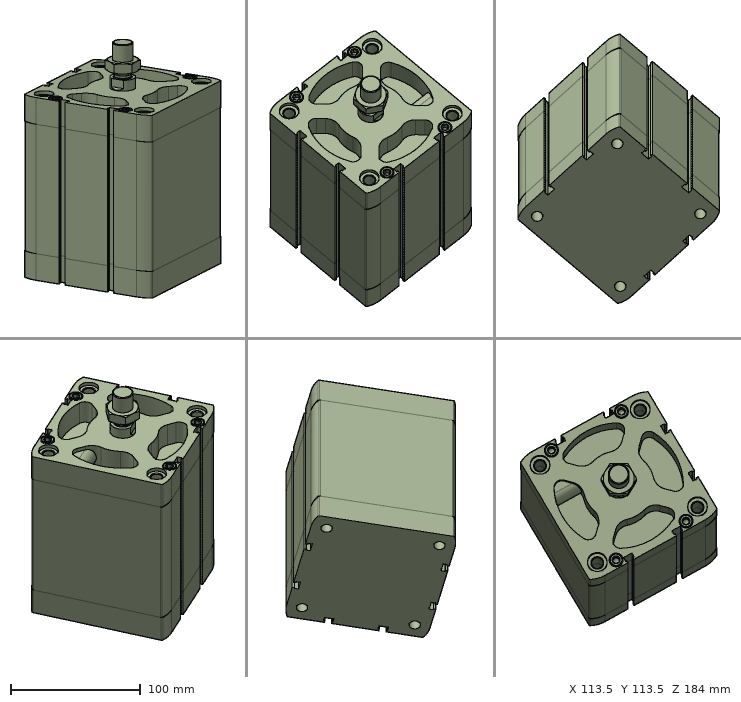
import cadquery as cq
import math

WIDTH = 113.5
HEIGHT = 147.4
CAP_HEIGHT = 21.5
HALF = WIDTH / 2
TOTAL_HEIGHT = 184.0

CORNER_HOLE_OFFSET = 44.5
CAP_CORNER_RADIUS = 25.0
BARREL_CORNER_RADIUS = 21.0
EDGE_RADIUS = 1.3

SLOT_OFFSET = 21.5
SLOT_MOUTH_WIDTH = 5.5
SLOT_INNER_WIDTH = 7.4
SLOT_LIP = 1.8
SLOT_DEPTH = 5.2

HOLE_DIAMETER = 8.6
HOLE_CHAMFER_DIAMETER = 10.0
HOLE_RECESS_DIAMETER = 15.0
HOLE_RECESS_DEPTH = 3.0

SCREW_X = 31.1
SCREW_Y = 50.2
SCREW_RECESS_DIAMETER = 10.7
SCREW_HEAD_DIAMETER = 9.0
SOCKET_RIM_DIAMETER = 6.0
SOCKET_FLATS = 5.0
SOCKET_DEPTH = 4.0
SOCKET_TIP_DEPTH = 1.5

POCKET_OUTER_RADIUS = 100.0 / 2
HUB_RADIUS = 27.6
POCKET_DEPTH = 19.3
RIB_WIDTH = 13.8
POCKET_OUTER_ROUND = 6.0
POCKET_HUB_ROUND = 12.0

PORT_Y = -20.0
PORT_DIAMETER = 16.0

ROD_DIAMETER = 20.0
ROD_SHOULDER_HEIGHT = 8.6
ROD_FLAT_WIDTH = 17.0
ROD_FLAT_START = 2.0
NECK_DIAMETER = 13.5
NECK_TOP = 11.2
NECK_FOOT_DIAMETER = 14.7
THREAD_DIAMETER = 16.0
ROD_TIP_DIAMETER = 14.4
ROD_TIP_HEIGHT = 0.5
ROD_SEAT_DEPTH = CAP_HEIGHT

NUT_FLATS = 24.0
NUT_HEIGHT = 8.3
NUT_BOTTOM = 14.4
NUT_CHAMFER_ANGLE = 25.0


def outline_block(height, corner_radius):
    """Block with eased corners: an arc tangent to the +-Y faces, rounded into the +-X faces."""
    run = HALF - CORNER_HOLE_OFFSET
    drop = corner_radius - math.sqrt(corner_radius**2 - run**2)
    corner_y = HALF - drop
    return (
        cq.Workplane("XY")
        .moveTo(-CORNER_HOLE_OFFSET, HALF)
        .lineTo(CORNER_HOLE_OFFSET, HALF)
        .radiusArc((HALF, corner_y), corner_radius)
        .lineTo(HALF, -corner_y)
        .radiusArc((CORNER_HOLE_OFFSET, -HALF), corner_radius)
        .lineTo(-CORNER_HOLE_OFFSET, -HALF)
        .radiusArc((-HALF, -corner_y), corner_radius)
        .lineTo(-HALF, corner_y)
        .radiusArc((-CORNER_HOLE_OFFSET, HALF), corner_radius)
        .close()
        .extrude(height)
        .edges("|Z and (>X or <X)")
        .fillet(EDGE_RADIUS)
    )


def t_slots(height):
    """Pairs of T-slots on the +Y, -X and -Y faces."""
    mouth = cq.Workplane("XY").box(SLOT_MOUTH_WIDTH, SLOT_DEPTH, height, centered=(True, False, False))
    pocket = cq.Workplane("XY").box(
        SLOT_INNER_WIDTH, SLOT_DEPTH - SLOT_LIP, height, centered=(True, False, False)
    )
    slot = mouth.union(pocket).translate((0, HALF - SLOT_DEPTH, 0))
    pair = slot.translate((-SLOT_OFFSET, 0, 0)).union(slot.translate((SLOT_OFFSET, 0, 0)))
    slots = pair
    for angle in (90, 180):
        slots = slots.union(pair.rotate((0, 0, 0), (0, 0, 1), angle))
    return slots


def corner_points():
    spacing = 2 * CORNER_HOLE_OFFSET
    return cq.Workplane("XY").rect(spacing, spacing, forConstruction=True).vertices()


def housing_section(base, height, corner_radius):
    """One stretch of the housing with its slots and the corner through holes."""
    section = outline_block(height, corner_radius).cut(t_slots(height))
    section = section.cut(corner_points().circle(HOLE_DIAMETER / 2).extrude(height))
    return section.translate((0, 0, base))


def revolve_profile(points):
    """Solid of revolution about Z from (radius, z) points."""
    return cq.Workplane("XZ").polyline(points).close().revolve(360, (0, 0, 0), (0, 1, 0))


def hole_recess():
    """Counterbore with a chamfer leading into the corner hole, top at Z = 0."""
    recess_radius = HOLE_RECESS_DIAMETER / 2
    chamfer_radius = HOLE_CHAMFER_DIAMETER / 2
    hole_radius = HOLE_DIAMETER / 2
    return revolve_profile([
        (0, 0),
        (recess_radius, 0),
        (recess_radius, -HOLE_RECESS_DEPTH),
        (chamfer_radius, -HOLE_RECESS_DEPTH),
        (hole_radius, -HOLE_RECESS_DEPTH - (chamfer_radius - hole_radius)),
        (0, -HOLE_RECESS_DEPTH - (chamfer_radius - hole_radius)),
    ])


def screw_recess():
    """Groove around a chamfered screw head and its hexagon socket, top at Z = 0."""
    recess_radius = SCREW_RECESS_DIAMETER / 2
    head_radius = SCREW_HEAD_DIAMETER / 2
    groove = revolve_profile([
        (head_radius, 0),
        (recess_radius, 0),
        (recess_radius, head_radius - recess_radius),
    ])
    rim_radius = SOCKET_RIM_DIAMETER / 2
    tip_radius = SOCKET_FLATS / 2
    rim = revolve_profile([
        (0, 0),
        (rim_radius, 0),
        (tip_radius, tip_radius - rim_radius),
        (0, tip_radius - rim_radius),
    ])
    socket = cq.Workplane("XY").polygon(6, SOCKET_FLATS / math.cos(math.pi / 6)).extrude(-SOCKET_DEPTH)
    tip = revolve_profile([
        (0, -SOCKET_DEPTH),
        (tip_radius, -SOCKET_DEPTH),
        (0, -SOCKET_DEPTH - SOCKET_TIP_DEPTH),
    ])
    return groove.union(rim).union(socket).union(tip)


def pocket():
    """The +X pocket: a ring sector between two diagonal ribs, with rounded corners, top at Z = 0."""
    rib_offset = RIB_WIDTH / math.sqrt(2)
    reach = WIDTH
    sector = (
        cq.Workplane("XY")
        .polyline([(rib_offset, 0), (rib_offset + reach, reach), (rib_offset + reach, -reach)])
        .close()
        .extrude(-POCKET_DEPTH)
    )
    ring = cq.Workplane("XY").circle(POCKET_OUTER_RADIUS).circle(HUB_RADIUS).extrude(-POCKET_DEPTH)
    shape = ring.intersect(sector)
    middle = (HUB_RADIUS + POCKET_OUTER_RADIUS) / 2 * math.cos(math.pi / 4)
    outer_edges = cq.selectors.BoxSelector((middle, -HALF, -HEIGHT), (HALF, HALF, HEIGHT))
    hub_edges = cq.selectors.BoxSelector((0, -HALF, -HEIGHT), (middle, HALF, HEIGHT))
    shape = shape.edges("|Z").edges(outer_edges).fillet(POCKET_OUTER_ROUND)
    return shape.edges("|Z").edges(hub_edges).fillet(POCKET_HUB_ROUND)


def port_boss():
    """Material left in the +X pocket: a flat top ending in a half-round side that faces +Y."""
    boss_top = PORT_DIAMETER - POCKET_DEPTH
    return (
        cq.Workplane("YZ")
        .moveTo(-HALF, -POCKET_DEPTH)
        .lineTo(-HALF, boss_top)
        .lineTo(PORT_Y, boss_top)
        .radiusArc((PORT_Y, -POCKET_DEPTH), PORT_DIAMETER / 2)
        .close()
        .extrude(HALF)
    )


def top_cap():
    cap = housing_section(HEIGHT - CAP_HEIGHT, CAP_HEIGHT, CAP_CORNER_RADIUS)
    for x in (-CORNER_HOLE_OFFSET, CORNER_HOLE_OFFSET):
        for y in (-CORNER_HOLE_OFFSET, CORNER_HOLE_OFFSET):
            cap = cap.cut(hole_recess().translate((x, y, HEIGHT)))
    for x in (-SCREW_X, SCREW_X):
        for y in (-SCREW_Y, SCREW_Y):
            cap = cap.cut(screw_recess().translate((x, y, HEIGHT)))
    plain_pocket = pocket()
    for angle in (90, 180, 270):
        cap = cap.cut(plain_pocket.rotate((0, 0, 0), (0, 0, 1), angle).translate((0, 0, HEIGHT)))
    cap = cap.cut(plain_pocket.cut(port_boss()).translate((0, 0, HEIGHT)))
    rod_seat = cq.Workplane("XY").circle(ROD_DIAMETER / 2).extrude(-ROD_SEAT_DEPTH)
    return cap.cut(rod_seat.translate((0, 0, HEIGHT)))


def build_housing():
    """Caps and barrel as one solid; the faces stay split where the sections meet."""
    barrel = housing_section(CAP_HEIGHT, HEIGHT - 2 * CAP_HEIGHT, BARREL_CORNER_RADIUS)
    bottom_cap = housing_section(0, CAP_HEIGHT, CAP_CORNER_RADIUS)
    return barrel.union(bottom_cap, clean=False).union(top_cap(), clean=False)


def build_rod():
    """Piston rod with two wrench flats, an undercut neck and a threaded end of plain diameter."""
    rod_radius = ROD_DIAMETER / 2
    neck_radius = NECK_DIAMETER / 2
    foot_radius = NECK_FOOT_DIAMETER / 2
    thread_radius = THREAD_DIAMETER / 2
    tip_radius = ROD_TIP_DIAMETER / 2
    rod_top = TOTAL_HEIGHT - HEIGHT
    rod = revolve_profile([
        (0, -ROD_SEAT_DEPTH),
        (rod_radius, -ROD_SEAT_DEPTH),
        (rod_radius, ROD_SHOULDER_HEIGHT),
        (foot_radius, ROD_SHOULDER_HEIGHT),
        (neck_radius, ROD_SHOULDER_HEIGHT + foot_radius - neck_radius),
        (neck_radius, NECK_TOP),
        (thread_radius, NUT_BOTTOM),
        (thread_radius, rod_top - ROD_TIP_HEIGHT),
        (tip_radius, rod_top),
        (0, rod_top),
    ])
    flat_y = ROD_FLAT_WIDTH / 2
    flat_depth = rod_radius - flat_y
    flat_cut = (
        cq.Workplane("YZ")
        .polyline([
            (flat_y, ROD_SHOULDER_HEIGHT),
            (flat_y, ROD_FLAT_START),
            (rod_radius, ROD_FLAT_START - flat_depth),
            (rod_radius, ROD_SHOULDER_HEIGHT),
        ])
        .close()
        .extrude(rod_radius, both=True)
    )
    for angle in (0, 180):
        rod = rod.cut(flat_cut.rotate((0, 0, 0), (0, 0, 1), angle))
    return rod.translate((0, 0, HEIGHT))


def build_nut():
    """Hexagon nut with flats facing +-X and conical chamfers on both ends."""
    across_corners = NUT_FLATS / math.cos(math.pi / 6)
    flat_radius = NUT_FLATS / 2
    corner_radius = across_corners / 2
    chamfer = (corner_radius - flat_radius) * math.tan(math.radians(NUT_CHAMFER_ANGLE))
    hexagon = cq.Workplane("XY").polygon(6, across_corners).extrude(NUT_HEIGHT)
    hexagon = hexagon.rotate((0, 0, 0), (0, 0, 1), 90)
    envelope = revolve_profile([
        (0, 0),
        (flat_radius, 0),
        (corner_radius, chamfer),
        (corner_radius, NUT_HEIGHT - chamfer),
        (flat_radius, NUT_HEIGHT),
        (0, NUT_HEIGHT),
    ])
    bore = cq.Workplane("XY").circle(THREAD_DIAMETER / 2).extrude(NUT_HEIGHT)
    return hexagon.intersect(envelope).cut(bore).translate((0, 0, HEIGHT + NUT_BOTTOM))


housing = build_housing()
rod = build_rod()
nut = build_nut()
result = cq.Compound.makeCompound([housing.val(), rod.val(), nut.val()])